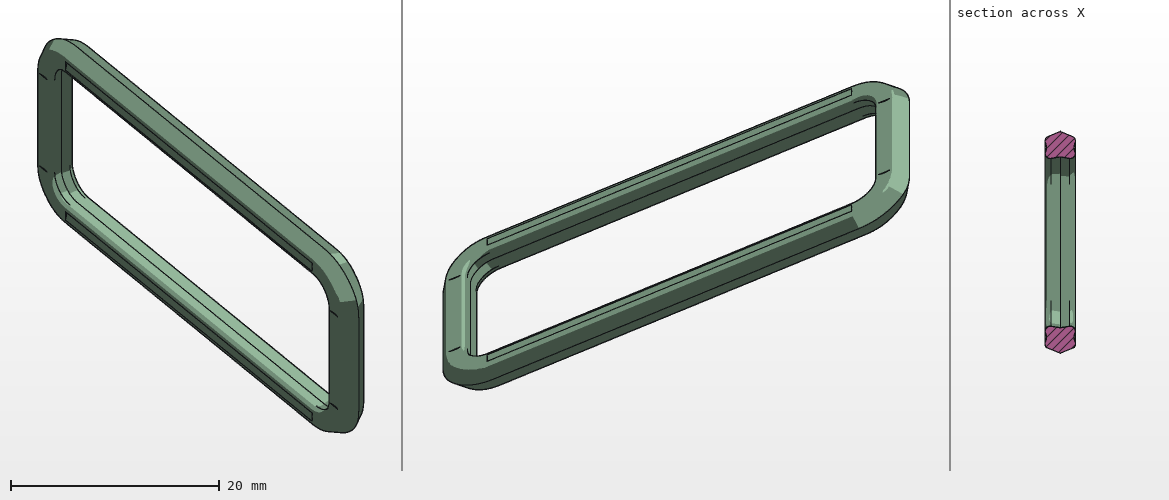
import cadquery as cq

length = 50.5
height = 21.3
thickness = 2.95
half_thickness = thickness / 2

end_bar_width = 3.15
long_bar_width = 2.65
end_bevel = 1.05
long_bevel = 0.6

inner_corner_radius = 2.4
corner_span_x = end_bar_width + inner_corner_radius
corner_span_z = long_bar_width + inner_corner_radius
opening_length = length - 2 * end_bar_width
opening_height = height - 2 * long_bar_width

v_groove_half_width = 0.9
v_groove_depth = 0.15
inner_edge_radius = 0.5
outer_edge_radius = 0.4
selection_margin = 0.05

long_hollow_offset = 1.55
long_hollow_width = 1.0
long_hollow_depth = 0.125
end_hollow_offset = 2.0
end_hollow_width = 1.2
end_hollow_depth = 0.075


def rounded_outline(y, size_x, size_z, radius_x, radius_z):
    """Rectangle with smooth near-elliptical corners, as a wire at depth y."""
    x, z = size_x / 2, size_z / 2
    center_x, center_z = x - radius_x, z - radius_z
    diagonal = 0.5 ** 0.5
    mid_x = center_x + radius_x * diagonal
    mid_z = center_z + radius_z * diagonal

    def corner(start, middle, end, start_tangent, end_tangent):
        points = [cq.Vector(px, y, pz) for px, pz in (start, middle, end)]
        tangents = [cq.Vector(tx, 0, tz) for tx, tz in (start_tangent, end_tangent)]
        return cq.Edge.makeSpline(points, tangents=tangents)

    def side(start, end):
        return cq.Edge.makeLine(cq.Vector(start[0], y, start[1]), cq.Vector(end[0], y, end[1]))

    edges = [
        side((-center_x, z), (center_x, z)),
        corner((center_x, z), (mid_x, mid_z), (x, center_z), (1, 0), (0, -1)),
        side((x, center_z), (x, -center_z)),
        corner((x, -center_z), (mid_x, -mid_z), (center_x, -z), (0, -1), (-1, 0)),
        side((center_x, -z), (-center_x, -z)),
        corner((-center_x, -z), (-mid_x, -mid_z), (-x, -center_z), (-1, 0), (0, 1)),
        side((-x, -center_z), (-x, center_z)),
        corner((-x, center_z), (-mid_x, mid_z), (-center_x, z), (0, 1), (1, 0)),
    ]
    return cq.Wire.assembleEdges(edges)


def inset_outline(y, size_x, size_z, span_x, span_z, inset_x, inset_z):
    """Outline moved inward while its corner arcs keep the same centers."""
    return rounded_outline(
        y, size_x - 2 * inset_x, size_z - 2 * inset_z, span_x - inset_x, span_z - inset_z
    )


def ruled_half(middle_wire, end_wire):
    """Solid with straight-sided walls from mid-thickness to one end outline."""
    return cq.Workplane(obj=cq.Solid.makeLoft([middle_wire, end_wire], True))


def bevelled_plate():
    """Solid plate whose rim slopes to a ridge at mid-thickness."""
    ridge = rounded_outline(0, length, height, corner_span_x, corner_span_z)
    halves = []
    for y in (-half_thickness, half_thickness):
        face_edge = inset_outline(
            y, length, height, corner_span_x, corner_span_z, end_bevel, long_bevel
        )
        halves.append(ruled_half(ridge, face_edge))
    return halves[0].union(halves[1])


def opening():
    return (
        cq.Workplane("XZ", origin=(0, half_thickness, 0))
        .rect(opening_length, opening_height)
        .extrude(thickness)
        .edges("|Y")
        .fillet(inner_corner_radius)
    )


def v_groove():
    """Ring cutter for the groove, widest at mid-thickness."""
    valley = inset_outline(
        0, opening_length, opening_height, inner_corner_radius, inner_corner_radius,
        -v_groove_depth, -v_groove_depth,
    )
    halves = []
    for y in (-v_groove_half_width, v_groove_half_width):
        lip = rounded_outline(
            y, opening_length, opening_height, inner_corner_radius, inner_corner_radius
        )
        halves.append(ruled_half(valley, lip))
    return halves[0].union(halves[1])


def hollow_cutter(width, depth, run):
    """Cylinder along X that leaves a shallow hollow in the front face at Z = 0."""
    radius = ((width / 2) ** 2 + depth ** 2) / (2 * depth)
    axis_y = -half_thickness + depth - radius
    return cq.Workplane("YZ", origin=(-run / 2, 0, 0)).center(axis_y, 0).circle(radius).extrude(run)


def cut_hollows(body):
    long_cutter = hollow_cutter(long_hollow_width, long_hollow_depth, length - 2 * corner_span_x)
    end_cutter = hollow_cutter(end_hollow_width, end_hollow_depth, height - 2 * corner_span_z)
    end_cutter = end_cutter.rotate((0, 0, 0), (0, 1, 0), 90)
    for side in (-1, 1):
        long_front = long_cutter.translate((0, 0, side * (height / 2 - long_hollow_offset)))
        end_front = end_cutter.translate((side * (length / 2 - end_hollow_offset), 0, 0))
        for front in (long_front, end_front):
            body = body.cut(front).cut(front.mirror("XZ"))
    return body


plate = bevelled_plate().faces("<Y or >Y").edges().fillet(outer_edge_radius)
frame = plate.cut(opening())
opening_edges = cq.selectors.BoxSelector(
    (-opening_length / 2 - selection_margin, -thickness, -opening_height / 2 - selection_margin),
    (opening_length / 2 + selection_margin, thickness, opening_height / 2 + selection_margin),
)
frame = frame.faces("<Y or >Y").edges(opening_edges).fillet(inner_edge_radius)
frame = frame.cut(v_groove())
result = cut_hollows(frame)